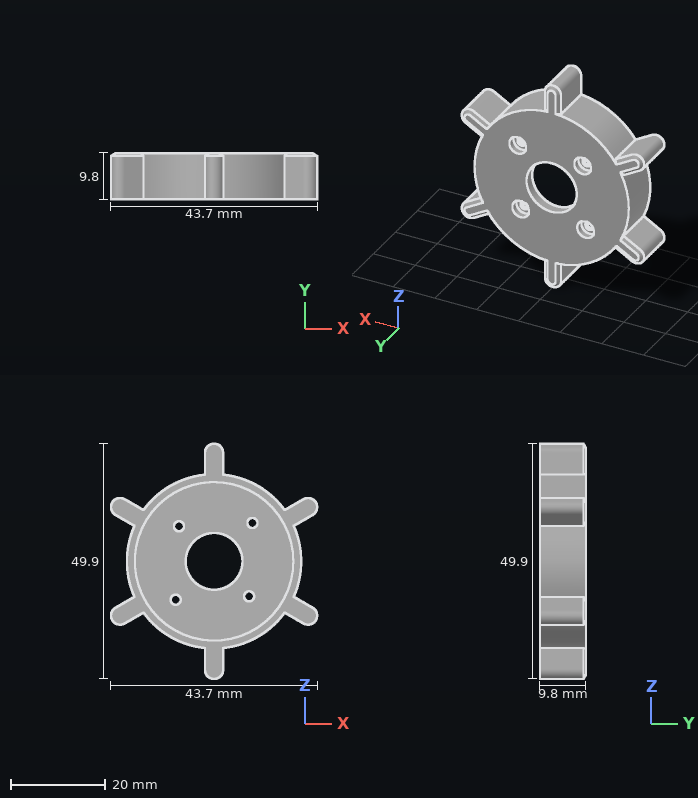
import cadquery as cq
import math

thickness = 9.8
disc_radius = 18.5

recess_radius = 16.8
recess_depth = 7.2

arm_count = 6
arm_width = 3.9
arm_end_centre = 23.0

bevel_inset = 1.0
bevel_height = 0.6

bore_radius = 6.0
screw_hole_diameter = 2.1
screw_head_diameter = 4.0
screw_head_depth = 1.85
wide_pair_spacing = 23.0
narrow_pair_spacing = 21.0
wide_pair_angle = 45.0
narrow_pair_angle = 135.0


def face_plane(y):
    """Plane square to the Y axis, with local x = X, local y = Z and normal -Y."""
    return cq.Workplane("XZ", origin=(0, y, 0))


def make_disc():
    return face_plane(thickness).circle(disc_radius).extrude(thickness)


def make_arm(angle):
    """Round-ended arm from the axis outwards, bevelled along its +Y rim."""
    arm = (
        face_plane(thickness)
        .slot2D(2 * arm_end_centre + arm_width, arm_width)
        .extrude(thickness)
        .faces(">Y")
        .chamfer(bevel_height, bevel_inset)
    )
    outer_half = face_plane(thickness).rect(arm_end_centre + arm_width, arm_width, centered=(False, True))
    arm = arm.intersect(outer_half.extrude(thickness))
    return arm.rotate((0, 0, 0), (0, 1, 0), -angle)


def make_recess():
    return face_plane(recess_depth).circle(recess_radius).extrude(recess_depth)


def make_bore():
    return face_plane(thickness).circle(bore_radius).extrude(thickness)


def make_screw_hole_pair(spacing, angle):
    """Two through holes on opposite sides of the axis, counterbored from the +Y face."""
    x = spacing / 2 * math.cos(math.radians(angle))
    z = spacing / 2 * math.sin(math.radians(angle))
    places = face_plane(thickness).pushPoints([(x, z), (-x, -z)])
    shanks = places.circle(screw_hole_diameter / 2).extrude(thickness)
    heads = places.circle(screw_head_diameter / 2).extrude(screw_head_depth)
    return shanks.union(heads)


result = make_disc()
for index in range(arm_count):
    result = result.union(make_arm(90 + index * 360 / arm_count))
result = result.cut(make_recess())
result = result.cut(make_bore())
result = result.cut(make_screw_hole_pair(wide_pair_spacing, wide_pair_angle))
result = result.cut(make_screw_hole_pair(narrow_pair_spacing, narrow_pair_angle))